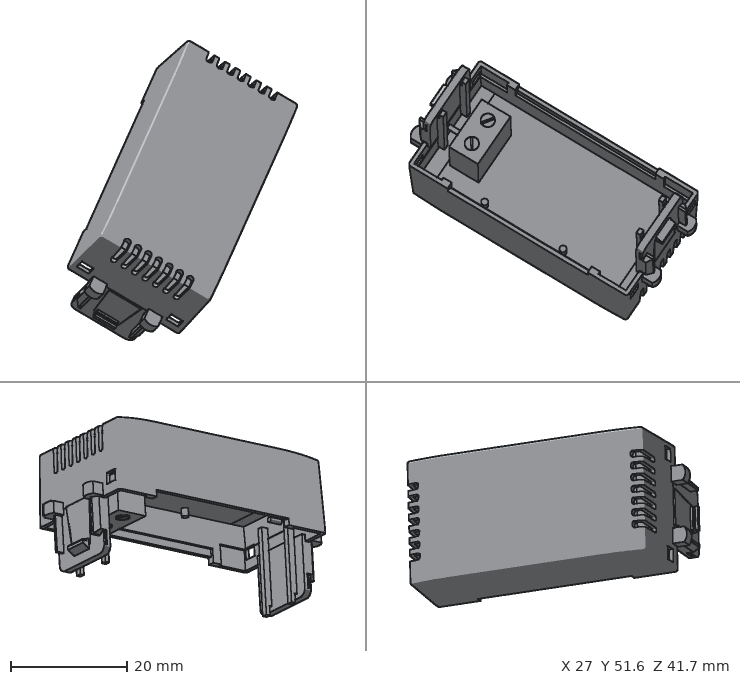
import cadquery as cq
import math

TILT_ABOUT_Y = 33
TILT_ABOUT_X = 20

HALF_WIDTH = 11.35
HALF_WIDTH_TOP = 11.15
HALF_LENGTH = 22.4
HALF_LENGTH_TOP = 21.9
HALF_LENGTH_FLAT = 13.85
TOP_Z = 9.8
TOP_END_Z = 9.15
DRAFT_START_Z = -3.0
FOOT_Z = -4.25
EDGE_RADIUS = 0.5
SIDE_WALL = 1.3
LIP_WALL = 0.8
END_WALL = 0.8
ROOF = 0.8
FOOT_START_Y = 14.3
POCKET_START_Y = 16
POCKET_TOP_Z = -0.5
LIP_TOP_Z = -1.6
CLEAR = 2.6

VENT_COUNT = 7
VENT_PITCH = 2.1
VENT_WIDTH_TOP = 1.35
VENT_WIDTH_BOTTOM = 0.95
VENT_BOTTOM_Z = 4.3
VENT_INNER_Y = 19.75
WINDOW_WIDTH = 2.4
WINDOW_CENTRE_X = 9.05
WINDOW_BOTTOM_Z = -2.3
WINDOW_TOP_Z = -0.25

BOSS_RADIUS = 0.45
BOSS_TIP_Y = -19.05
BOSS_Z = 1.3

BOARD_BOTTOM_Z = 3.6
BOARD_THICKNESS = 0.6
BOARD_HALF_LENGTH = 18.6
PIN_RADIUS = 0.6
PIN_LENGTH = 1.45
PIN_X = 8.0
PIN_MIDDLE_Y = 1.0
PIN_PITCH = 16

BLOCK_WIDTH = 10.35
BLOCK_START_Y = 12.1
BLOCK_LENGTH = 5.9
BLOCK_BOTTOM_Z = -5.4
SCREW_PITCH = 5.05
SCREW_RADIUS = 1.25
SCREW_RECESS = 0.15
SCREW_SLOT_WIDTH = 0.3
SCREW_SLOT_DEPTH = 0.3
SCREW_SLOT_ANGLES = (35, -35)

PLATE_HALF_WIDTH = 6.3
PLATE_OUTER_Y = -HALF_LENGTH
PLATE_THICKNESS = 1.4
PLATE_BOTTOM_Z = -14.15
PLATE_CORNER_RADIUS = 1.4
PLATE_GROOVE_Y = -21.9
PLATE_GROOVE_WIDTH = 0.3
PLATE_GROOVE_DEPTH = 0.3
RIB_CENTRE_X = 3.55
RIB_WIDTH = 1.05
RIB_TOP_Z = 1.05
RIB_STEP_Z = -13.25
RIB_TIP_Z = -15
RIB_INNER_Y = -19.75
RIB_TIP_THICKNESS = 0.85
WEDGE_HALF_WIDTH_TOP = 3.25
WEDGE_HALF_WIDTH_BOTTOM = 2.5
WEDGE_BOTTOM_Z = -11.55
WEDGE_RISE = 0.3
GRIP_WIDTH = 4.25
GRIP_RISE = 1.3
GRIP_TOP_Z = -10.45
GRIP_FRONT_Z = -10.75
GRIP_LIP_Z = -11.4
GRIP_ROOT_Z = -12.35
GRIP_GROOVE_WIDTH = 0.4
GRIP_GROOVE_DEPTH = 0.2
ARM_INNER_X = 4.9
ARM_RIDGE_X = 5.35
ARM_ROOT_Y = PLATE_GROOVE_Y + PLATE_GROOVE_WIDTH / 2
ARM_SIDE_Y = -23.0
ARM_OUTER_Y = -23.85
ARM_SIDE_BOTTOM_Z = -10.1
ARM_TIP_Z = -10.85
KNOB_WIDTH = 2.8
KNOB_CENTRE_X = 5.6
KNOB_BOTTOM_Z = -4.15
KNOB_TOP_Z = -1.9
KNOB_INNER_Y = -22.6
KNOB_EDGE_Y = -24.7
KNOB_OUTER_Y = -25.2


def box(x_range, y_range, z_range):
    """A box between the given limits."""
    x0, x1 = x_range
    y0, y1 = y_range
    z0, z1 = z_range
    return cq.Workplane("XY").box(x1 - x0, y1 - y0, z1 - z0, centered=False).translate((x0, y0, z0))


def both_x(shape):
    """The shape together with its mirror image across the YZ plane."""
    return shape.union(shape.mirror("YZ"))


def turned(shape):
    """The shape carried to the opposite end of the housing."""
    return shape.rotate((0, 0, 0), (0, 0, 1), 180)


def both_ends(shape):
    """The shape together with its copy at the opposite end."""
    return shape.union(turned(shape))


def housing_outside():
    """Drafted block whose top is flat in the middle and curves down to both ends."""
    run = HALF_LENGTH_TOP - HALF_LENGTH_FLAT
    drop = TOP_Z - TOP_END_Z
    radius = (run**2 + drop**2) / (2 * drop)
    half_angle = math.asin(run / radius) / 2
    arc_mid_y = HALF_LENGTH_FLAT + radius * math.sin(half_angle)
    arc_mid_z = TOP_Z - radius * (1 - math.cos(half_angle))
    lengthwise = (
        cq.Workplane("YZ")
        .moveTo(-HALF_LENGTH, DRAFT_START_Z)
        .lineTo(HALF_LENGTH, DRAFT_START_Z)
        .lineTo(HALF_LENGTH_TOP, TOP_END_Z)
        .threePointArc((arc_mid_y, arc_mid_z), (HALF_LENGTH_FLAT, TOP_Z))
        .lineTo(-HALF_LENGTH_FLAT, TOP_Z)
        .threePointArc((-arc_mid_y, arc_mid_z), (-HALF_LENGTH_TOP, TOP_END_Z))
        .close()
        .extrude(HALF_WIDTH + CLEAR, both=True)
    )
    crosswise = (
        cq.Workplane("XZ")
        .polyline([
            (-HALF_WIDTH, DRAFT_START_Z),
            (HALF_WIDTH, DRAFT_START_Z),
            (HALF_WIDTH_TOP, TOP_Z),
            (-HALF_WIDTH_TOP, TOP_Z),
        ])
        .close()
        .extrude(HALF_LENGTH + CLEAR, both=True)
    )
    block = lengthwise.intersect(crosswise)
    rounded = block.edges("not(<Z or (|X and >Z))").fillet(EDGE_RADIUS)
    foot_outline = rounded.faces("<Z").wires().toPending().workplane()
    foot = foot_outline.extrude(DRAFT_START_Z - FOOT_Z, combine=False)
    return rounded.union(foot)


def end_boss():
    """Round boss that stands on the inner face of one end wall."""
    wall_middle_y = -HALF_LENGTH_TOP + END_WALL / 2
    boss = cq.Workplane("XZ", origin=(0, wall_middle_y, BOSS_Z)).circle(BOSS_RADIUS)
    return boss.extrude(wall_middle_y - BOSS_TIP_Y)


def housing_cavity():
    """Room for the board and the latches, open at the bottom, with a shoulder and a boss at each end."""
    room_half_width = HALF_WIDTH - SIDE_WALL
    room_half_length = HALF_LENGTH - END_WALL
    room = (
        cq.Workplane("YZ")
        .polyline([
            (-room_half_length, FOOT_Z - CLEAR),
            (room_half_length, FOOT_Z - CLEAR),
            (room_half_length, DRAFT_START_Z),
            (HALF_LENGTH_TOP - END_WALL, TOP_END_Z - ROOF),
            (-HALF_LENGTH_TOP + END_WALL, TOP_END_Z - ROOF),
            (-room_half_length, DRAFT_START_Z),
        ])
        .close()
        .extrude(room_half_width, both=True)
    )
    shoulder = box(
        (-room_half_width, room_half_width),
        (BOARD_HALF_LENGTH, HALF_LENGTH),
        (BOARD_BOTTOM_Z, BOARD_BOTTOM_Z + BOARD_THICKNESS),
    )
    return room.cut(both_ends(shoulder)).cut(both_ends(end_boss()))


def housing_bottom_cuts():
    """Steps that leave a thin lip along the sides, four corner feet and a gap for each latch."""
    below = FOOT_Z - CLEAR
    beside = HALF_WIDTH + CLEAR
    lip_half_width = HALF_WIDTH - LIP_WALL
    long_step = box((-beside, beside), (-FOOT_START_Y, FOOT_START_Y), (below, DRAFT_START_Z))
    lip = box((-lip_half_width, lip_half_width), (-FOOT_START_Y, FOOT_START_Y), (below, LIP_TOP_Z))
    pocket = box(
        (-lip_half_width, lip_half_width), (POCKET_START_Y, HALF_LENGTH - END_WALL), (below, POCKET_TOP_Z)
    )
    latch_gap = box(
        (-PLATE_HALF_WIDTH, PLATE_HALF_WIDTH),
        (POCKET_START_Y, HALF_LENGTH + CLEAR),
        (below, DRAFT_START_Z),
    )
    return long_step.union(lip).union(both_ends(pocket)).union(both_ends(latch_gap))


def vent():
    """Tapered slot through one end wall that runs on into the roof."""
    tip_radius = VENT_WIDTH_BOTTOM / 2
    over_z = TOP_Z + CLEAR
    face = (
        cq.Workplane("XZ")
        .moveTo(-VENT_WIDTH_TOP / 2, over_z)
        .lineTo(-tip_radius, VENT_BOTTOM_Z + tip_radius)
        .threePointArc((0, VENT_BOTTOM_Z), (tip_radius, VENT_BOTTOM_Z + tip_radius))
        .lineTo(VENT_WIDTH_TOP / 2, over_z)
        .close()
        .extrude(HALF_LENGTH + CLEAR)
    )
    round_radius = VENT_WIDTH_TOP / 2
    round_y = -VENT_INNER_Y - round_radius
    plan = (
        cq.Workplane("XY")
        .moveTo(-round_radius, -HALF_LENGTH - CLEAR)
        .lineTo(-round_radius, round_y)
        .threePointArc((0, -VENT_INNER_Y), (round_radius, round_y))
        .lineTo(round_radius, -HALF_LENGTH - CLEAR)
        .close()
        .extrude(over_z)
    )
    return face.intersect(plan)


def end_openings():
    """Row of vents and two corner windows in one end wall."""
    window = box(
        (WINDOW_CENTRE_X - WINDOW_WIDTH / 2, WINDOW_CENTRE_X + WINDOW_WIDTH / 2),
        (-HALF_LENGTH - CLEAR, -HALF_LENGTH + END_WALL),
        (WINDOW_BOTTOM_Z, WINDOW_TOP_Z),
    )
    openings = both_x(window)
    for i in range(VENT_COUNT):
        vent_x = (i - (VENT_COUNT - 1) / 2) * VENT_PITCH
        openings = openings.union(vent().translate((vent_x, 0, 0)))
    return openings


def make_housing():
    shell = housing_outside().cut(housing_cavity()).cut(housing_bottom_cuts())
    return shell.cut(both_ends(end_openings()))


def make_board():
    """Circuit board with two short pins under it."""
    half_width = HALF_WIDTH - SIDE_WALL
    board = box(
        (-half_width, half_width),
        (-BOARD_HALF_LENGTH, BOARD_HALF_LENGTH),
        (BOARD_BOTTOM_Z, BOARD_BOTTOM_Z + BOARD_THICKNESS),
    )
    for side in (-1, 1):
        pin_y = PIN_MIDDLE_Y + side * PIN_PITCH / 2
        pin = cq.Workplane("XY").circle(PIN_RADIUS).extrude(-PIN_LENGTH)
        board = board.union(pin.translate((PIN_X, pin_y, BOARD_BOTTOM_Z)))
    return board


def make_terminal_block():
    """Block under the board with two slotted screw heads in its lower face."""
    block = box(
        (-BLOCK_WIDTH / 2, BLOCK_WIDTH / 2),
        (BLOCK_START_Y, BLOCK_START_Y + BLOCK_LENGTH),
        (BLOCK_BOTTOM_Z, BOARD_BOTTOM_Z),
    )
    for side, angle in zip((-1, 1), SCREW_SLOT_ANGLES):
        recess = cq.Workplane("XY").circle(SCREW_RADIUS).extrude(SCREW_RECESS)
        slot = (
            cq.Workplane("XY")
            .rect(2 * SCREW_RADIUS, SCREW_SLOT_WIDTH)
            .extrude(SCREW_RECESS + SCREW_SLOT_DEPTH)
            .rotate((0, 0, 0), (0, 0, 1), angle)
        )
        screw_place = (side * SCREW_PITCH / 2, BLOCK_START_Y + BLOCK_LENGTH / 2, BLOCK_BOTTOM_Z)
        block = block.cut(recess.union(slot).translate(screw_place))
    return block


def latch_plate():
    """Flat tongue with rounded lower corners, grooved sides and a shallow wedge on its outer face."""
    plate = box(
        (-PLATE_HALF_WIDTH, PLATE_HALF_WIDTH),
        (PLATE_OUTER_Y, PLATE_OUTER_Y + PLATE_THICKNESS),
        (PLATE_BOTTOM_Z, DRAFT_START_Z),
    )
    plate = plate.edges("|Y and <Z").fillet(PLATE_CORNER_RADIUS)
    wedge_outline = (
        cq.Workplane("XZ", origin=(0, PLATE_OUTER_Y, 0))
        .polyline([
            (-WEDGE_HALF_WIDTH_TOP, DRAFT_START_Z),
            (WEDGE_HALF_WIDTH_TOP, DRAFT_START_Z),
            (WEDGE_HALF_WIDTH_BOTTOM, WEDGE_BOTTOM_Z),
            (-WEDGE_HALF_WIDTH_BOTTOM, WEDGE_BOTTOM_Z),
        ])
        .close()
        .extrude(WEDGE_RISE)
    )
    wedge_slope = (
        cq.Workplane("YZ")
        .polyline([
            (PLATE_OUTER_Y, WEDGE_BOTTOM_Z),
            (PLATE_OUTER_Y, DRAFT_START_Z),
            (PLATE_OUTER_Y - WEDGE_RISE, DRAFT_START_Z),
        ])
        .close()
        .extrude(WEDGE_HALF_WIDTH_TOP, both=True)
    )
    side_groove = box(
        (PLATE_HALF_WIDTH - PLATE_GROOVE_DEPTH, PLATE_HALF_WIDTH + CLEAR),
        (PLATE_GROOVE_Y - PLATE_GROOVE_WIDTH / 2, PLATE_GROOVE_Y + PLATE_GROOVE_WIDTH / 2),
        (PLATE_BOTTOM_Z + PLATE_CORNER_RADIUS, DRAFT_START_Z),
    )
    return plate.union(wedge_outline.intersect(wedge_slope)).cut(both_x(side_groove))


def latch_rib():
    """Upright rib behind the plate, thinner at its tip."""
    x_range = (RIB_CENTRE_X - RIB_WIDTH / 2, RIB_CENTRE_X + RIB_WIDTH / 2)
    upper = box(x_range, (PLATE_OUTER_Y + PLATE_THICKNESS, RIB_INNER_Y), (RIB_STEP_Z, RIB_TOP_Z))
    tip = box(x_range, (RIB_INNER_Y - RIB_TIP_THICKNESS, RIB_INNER_Y), (RIB_TIP_Z, RIB_STEP_Z))
    return upper.union(tip)


def latch_grip():
    """Raised bar near the lower end, sloped underneath and grooved along its upper face."""
    front_y = PLATE_OUTER_Y - GRIP_RISE
    groove_y = PLATE_OUTER_Y - GRIP_RISE / 2
    bar = (
        cq.Workplane("YZ")
        .polyline([
            (PLATE_OUTER_Y, GRIP_TOP_Z),
            (front_y, GRIP_FRONT_Z),
            (front_y, GRIP_LIP_Z),
            (PLATE_OUTER_Y, GRIP_ROOT_Z),
        ])
        .close()
        .extrude(GRIP_WIDTH / 2, both=True)
    )
    groove = box(
        (-GRIP_WIDTH, GRIP_WIDTH),
        (groove_y - GRIP_GROOVE_WIDTH / 2, groove_y + GRIP_GROOVE_WIDTH / 2),
        (GRIP_FRONT_Z - GRIP_GROOVE_DEPTH, GRIP_TOP_Z + CLEAR),
    )
    return bar.cut(groove)


def latch_arm():
    """Five-sided bar on the outer face with a slanted lower end."""
    bar = (
        cq.Workplane("XY", origin=(0, 0, ARM_TIP_Z))
        .polyline([
            (ARM_INNER_X, ARM_ROOT_Y),
            (ARM_INNER_X, ARM_OUTER_Y),
            (ARM_RIDGE_X, ARM_OUTER_Y),
            (PLATE_HALF_WIDTH, ARM_SIDE_Y),
            (PLATE_HALF_WIDTH, ARM_ROOT_Y),
        ])
        .close()
        .extrude(KNOB_BOTTOM_Z - ARM_TIP_Z)
    )
    slant = (
        cq.Workplane("XZ")
        .polyline([
            (ARM_RIDGE_X, ARM_TIP_Z),
            (PLATE_HALF_WIDTH, ARM_SIDE_BOTTOM_Z),
            (PLATE_HALF_WIDTH, ARM_TIP_Z),
        ])
        .close()
        .extrude(-2 * ARM_OUTER_Y)
    )
    return bar.cut(slant)


def latch_knob():
    """Push knob on top of an arm, bulging outwards."""
    half_width = KNOB_WIDTH / 2
    return (
        cq.Workplane("XY", origin=(KNOB_CENTRE_X, 0, KNOB_BOTTOM_Z))
        .moveTo(-half_width, KNOB_INNER_Y)
        .lineTo(-half_width, KNOB_EDGE_Y)
        .threePointArc((0, KNOB_OUTER_Y), (half_width, KNOB_EDGE_Y))
        .lineTo(half_width, KNOB_INNER_Y)
        .close()
        .extrude(KNOB_TOP_Z - KNOB_BOTTOM_Z)
    )


def make_latch():
    sides = latch_rib().union(latch_arm()).union(latch_knob())
    return latch_plate().union(latch_grip()).union(both_x(sides))


def tilted(body):
    """The body turned from its upright position into its final attitude."""
    turned_about_y = body.rotate((0, 0, 0), (0, 1, 0), TILT_ABOUT_Y)
    return turned_about_y.rotate((0, 0, 0), (1, 0, 0), TILT_ABOUT_X)


housing = tilted(make_housing())
board = tilted(make_board())
terminal_block = tilted(make_terminal_block())
latches = [tilted(make_latch()), tilted(turned(make_latch()))]

result = cq.Compound.makeCompound([
    housing.val(),
    board.val(),
    terminal_block.val(),
    *[latch.val() for latch in latches],
])